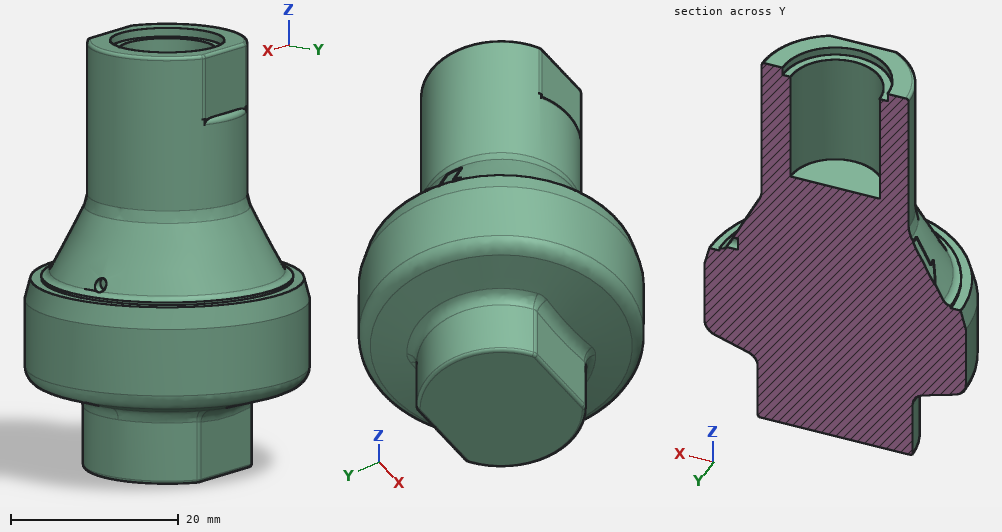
import cadquery as cq

total_height = 52
flat_offset = 8.55
flat_edge_round = 1.05
end_round = 0.4

lower_radius = 10.1
lower_root_round = 1.65

body_radius = 17.0
body_bottom = 10.85
underside_slope = 0.31
body_bottom_round = 2.0
bevel_bottom = 20.45
shoulder_radius = 16.35
shoulder_z = 23.0

step_radius = 15.05
step_z = 23.3
cone_base_radius = 14.35
cone_base_round = 1.05

neck_radius = 9.55
neck_base_z = 32.5
neck_base_round = 3.1
ledge_z = 44.2
ledge_round = 0.7

bore_radius = 5.75
bore_depth = 15.6
counterbore_radius = 6.8
counterbore_depth = 1.05

recess_radius = 0.8
recess_z = 24.55
recess_depth = 1.05

arrow_top_z = 31.3
arrow_shoulder_z = 27.7
arrow_tip_z = 25.85
arrow_shaft_half_width = 1.05
arrow_head_half_width = 2.1
arrow_depth = 0.1


def flatted_cylinder(radius, bottom, height):
    """Cylinder with two rounded-edge flats facing -Y and +Y."""
    cylinder = cq.Workplane("XY").workplane(offset=bottom).circle(radius).extrude(height)
    slab = (
        cq.Workplane("XY").workplane(offset=bottom)
        .rect(3 * radius, 2 * flat_offset).extrude(height)
    )
    flatted = cylinder.intersect(slab)
    return flatted.faces("<Y or >Y").edges("|Z").fillet(flat_edge_round)


def cone_radius(z):
    """Radius of the upper cone at height z."""
    slope = (cone_base_radius - neck_radius) / (neck_base_z - step_z)
    return cone_base_radius - slope * (z - step_z)


def circle_edge(radius, z):
    """Selector for the horizontal circle of this radius and height."""
    margin = 0.025
    reach = radius + margin
    return cq.selectors.BoxSelector(
        (-reach, -reach, z - margin), (reach, reach, z + margin), boundingbox=True
    )


def make_body():
    """Bulb, upper cone and round neck."""
    outline = [
        (0, body_bottom - underside_slope * body_radius),
        (body_radius, body_bottom),
        (body_radius, bevel_bottom),
        (shoulder_radius, shoulder_z),
        (step_radius, shoulder_z),
        (step_radius, step_z),
        (cone_base_radius, step_z),
        (neck_radius, neck_base_z),
        (neck_radius, total_height),
        (0, total_height),
    ]
    body = cq.Workplane("XZ").polyline(outline).close().revolve(360, (0, 0), (0, 1))
    body = body.edges(circle_edge(body_radius, body_bottom)).fillet(body_bottom_round)
    body = body.edges(circle_edge(cone_base_radius, step_z)).fillet(cone_base_round)
    return body.edges(circle_edge(neck_radius, neck_base_z)).fillet(neck_base_round)


def cut_neck_flats(body):
    """Two rounded-edge flats at the top of the neck, each ending on a ledge."""
    height = total_height - ledge_z
    for side in (-1, 1):
        block = cq.Workplane("XY").box(
            2 * neck_radius, neck_radius, height, centered=(True, True, False)
        ).translate((0, side * (flat_offset + neck_radius / 2), ledge_z))
        body = body.cut(block)
    flat_ends = cq.selectors.BoxSelector(
        (-neck_radius, -neck_radius, ledge_z), (neck_radius, neck_radius, total_height)
    )
    flat_sides = body.edges("|Z").edges(flat_ends).filter(lambda edge: abs(edge.Center().y) > 0.5)
    body = flat_sides.fillet(flat_edge_round)
    return body.faces(">Z").edges().fillet(end_round)


def round_ledges(body):
    """Round the outer rim of the ledges with a ring-shaped cut."""
    corner = (
        cq.Workplane("XZ")
        .moveTo(neck_radius, ledge_z - ledge_round)
        .radiusArc((neck_radius - ledge_round, ledge_z), -ledge_round)
        .lineTo(neck_radius, ledge_z)
        .close()
        .revolve(360, (0, 0), (0, 1))
    )
    for side in (-1, 1):
        beyond_flat = cq.Workplane("XY").box(
            2 * neck_radius, neck_radius, 2 * ledge_round
        ).translate((0, side * (flat_offset + neck_radius / 2), ledge_z))
        body = body.cut(corner.intersect(beyond_flat))
    return body


def add_lower_spigot(body):
    """Flatted lower spigot, blended into the underside cone."""
    spigot = flatted_cylinder(lower_radius, 0, body_bottom)
    spigot = spigot.faces("<Z").edges().fillet(end_round)
    joined = body.union(spigot)
    root_top = body_bottom - underside_slope * (body_radius - lower_radius)
    root_bottom = body_bottom - underside_slope * (body_radius - flat_offset)
    reach = lower_radius + 0.5
    root = cq.selectors.BoxSelector(
        (-reach, -reach, root_bottom - 0.5), (reach, reach, root_top + 0.5), boundingbox=True
    )
    return joined.edges(root).fillet(lower_root_round)


def cut_bore(body):
    """Blind bore with a shallow counterbore."""
    top = cq.Workplane("XY").workplane(offset=total_height)
    bore = top.circle(bore_radius).extrude(-bore_depth)
    counterbore = top.circle(counterbore_radius).extrude(-counterbore_depth)
    return body.cut(bore).cut(counterbore)


def cut_recess(body):
    """Small blind round recess, drilled along X into the cone."""
    recess = (
        cq.Workplane("YZ").workplane(offset=cone_radius(recess_z) - recess_depth)
        .center(0, recess_z).circle(recess_radius).extrude(2 * recess_depth)
    )
    return body.cut(recess)


def cut_arrow(body):
    """Downward arrow engraved to an even depth in the cone."""
    right_half = [
        (arrow_shaft_half_width, arrow_top_z),
        (arrow_shaft_half_width, arrow_shoulder_z),
        (arrow_head_half_width, arrow_shoulder_z),
    ]
    left_half = [(-y, z) for y, z in reversed(right_half)]
    outline = right_half + [(0, arrow_tip_z)] + left_half
    prism = cq.Workplane("YZ").polyline(outline).close().extrude(-body_radius)
    core_outline = [
        (0, step_z),
        (cone_base_radius - arrow_depth, step_z),
        (neck_radius - arrow_depth, neck_base_z),
        (0, neck_base_z),
    ]
    core = cq.Workplane("XZ").polyline(core_outline).close().revolve(360, (0, 0), (0, 1))
    return body.cut(prism.cut(core))


result = make_body()
result = cut_neck_flats(result)
result = round_ledges(result)
result = add_lower_spigot(result)
result = cut_bore(result)
result = cut_recess(result)
result = cut_arrow(result)